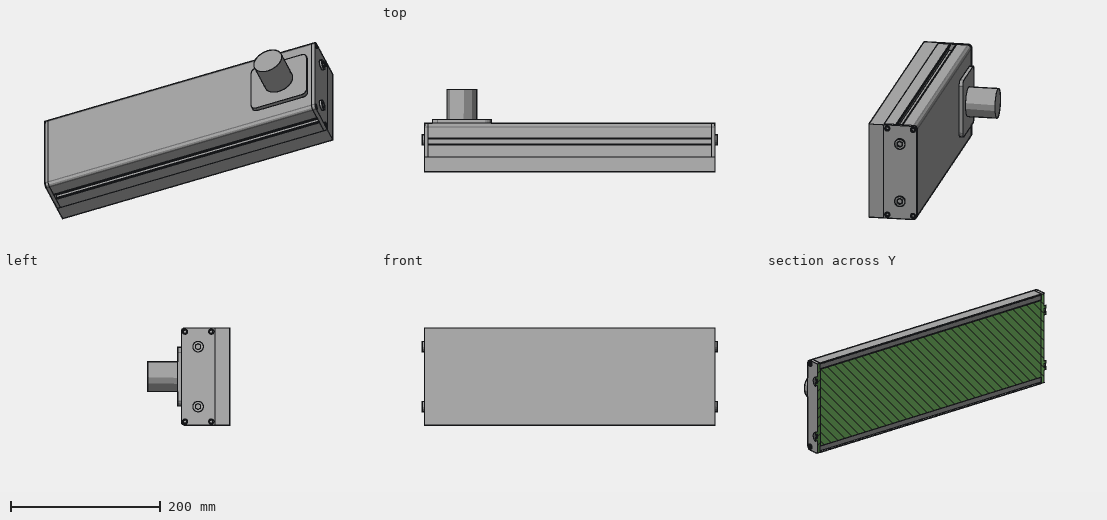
import cadquery as cq
import math

length = 388.0
height = 130.0
front_depth = 20.0
housing_depth = 45.0
cap_thickness = 5.0
back_edge_radius = 5.0

slot_from_front = 20.4
slot_relief_width = 9.4
slot_relief_depth = 0.5
slot_mouth_width = 7.0
slot_lip_bottom = 2.0
slot_cavity_width = 11.0
slot_depth = 9.0

plug_diameter = 14.0
plug_height = 3.0
plug_spacing = 80.0
plug_socket_width = 7.0
plug_socket_depth = 3.0

screw_inset = 5.0
screw_head_diameter = 7.0
screw_head_sink = 0.5
screw_socket_width = 4.0
screw_socket_depth = 2.0

flange_size = 79.0
flange_thickness = 5.0
flange_corner_radius = 7.0
post_diameter = 40.0
post_length = 40.0
post_from_end = 50.0

half_length = length / 2
half_height = height / 2
profile_length = length - 2 * cap_thickness


def back_section(start_x, extent):
    """Housing outline with rounded back edges, extruded along +X."""
    return (
        cq.Workplane("XY")
        .box(extent, housing_depth, height, centered=(False, False, True))
        .edges("|X and >Y")
        .fillet(back_edge_radius)
        .translate((start_x, 0, 0))
    )


def top_slot():
    """T-slot cutter for the top face, running the length of the profile."""
    steps = [
        (slot_relief_width, 0, slot_relief_depth),
        (slot_mouth_width, slot_relief_depth, slot_lip_bottom),
        (slot_cavity_width, slot_lip_bottom, slot_depth),
    ]
    cutter = cq.Workplane("XY")
    for width, upper, lower in steps:
        step = cq.Workplane("XY").box(profile_length, width, lower - upper)
        cutter = cutter.union(step.translate((0, slot_from_front, half_height - (upper + lower) / 2)))
    return cutter


def make_front_block():
    return cq.Workplane("XY").box(length, front_depth, height).translate((0, -front_depth / 2, 0))


def make_profile():
    slot = top_slot()
    profile = back_section(-profile_length / 2, profile_length)
    return profile.cut(slot).cut(slot.mirror("XY"))


def hexagon(across_flats):
    """Hexagon sketch with two of its corners on the vertical axis."""
    across_corners = across_flats / math.cos(math.pi / 6)
    return cq.Sketch().regularPolygon(across_corners / 2, 6)


def make_left_cap():
    """End cap at -X with its plugs and screw heads."""
    cap = back_section(-half_length, cap_thickness)
    outer_face = cq.Workplane("YZ", origin=(-half_length, 0, 0))

    plug_points = [(housing_depth / 2, side * plug_spacing / 2) for side in (-1, 1)]
    plugs = outer_face.pushPoints(plug_points).circle(plug_diameter / 2).extrude(-plug_height)
    plug_sockets = (
        outer_face.workplane(offset=-plug_height)
        .pushPoints(plug_points)
        .placeSketch(hexagon(plug_socket_width))
        .extrude(plug_socket_depth)
    )

    screw_points = [
        (y, side * (half_height - screw_inset))
        for y in (screw_inset, housing_depth - screw_inset)
        for side in (-1, 1)
    ]
    screws = outer_face.pushPoints(screw_points)
    head_recesses = screws.circle(screw_head_diameter / 2).extrude(screw_head_sink)
    screw_sockets = screws.placeSketch(hexagon(screw_socket_width)).extrude(screw_head_sink + screw_socket_depth)
    return cap.union(plugs).cut(plug_sockets).cut(head_recesses).cut(screw_sockets)


def make_mount():
    """Square flange with a round post, standing on the back of the profile."""
    flange = (
        cq.Workplane("XY")
        .box(flange_size, flange_thickness, flange_size)
        .edges("|Y")
        .fillet(flange_corner_radius)
    )
    mount = flange.faces(">Y").workplane().circle(post_diameter / 2).extrude(post_length)
    return mount.translate((post_from_end - half_length, housing_depth + flange_thickness / 2, 0))


front_block = make_front_block()
profile = make_profile()
left_cap = make_left_cap()
right_cap = left_cap.mirror("YZ")
mount = make_mount()

result = cq.Compound.makeCompound(
    [front_block.val(), profile.val(), left_cap.val(), right_cap.val(), mount.val()]
)